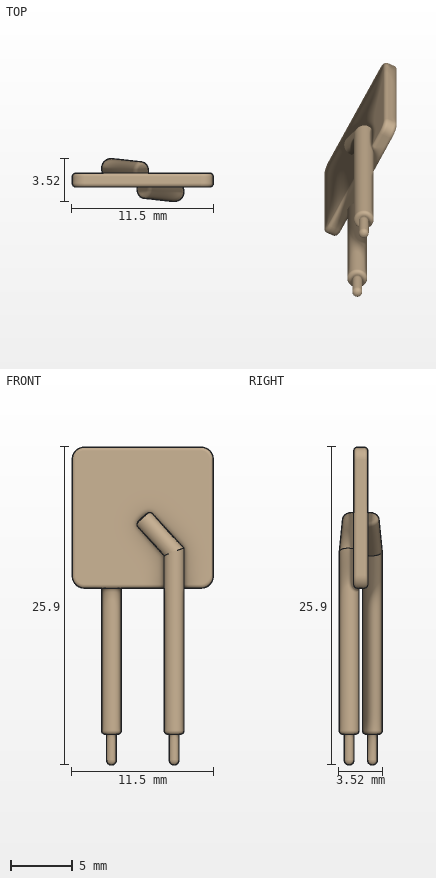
import cadquery as cq

plate_side = 11.5
plate_thickness = 1.15
plate_corner_radius = 1.0
plate_edge_fillet = 0.3

overall_height = 25.9
overall_depth = 3.52
lead_pitch = 5.1
sleeve_diameter = 1.62
sleeve_end_fillet = 0.3
wire_diameter = 0.81
wire_tip_fillet = 0.4
wire_exposed_length = 2.5
bend_drop = 2.8
inner_end_offset = 0.67

lead_x = lead_pitch / 2
lead_y = -(overall_depth - sleeve_diameter) / 2
wire_tip_z = plate_side / 2 - overall_height
sleeve_bottom_z = wire_tip_z + wire_exposed_length


def make_plate():
    return (
        cq.Workplane("XY")
        .box(plate_side, plate_thickness, plate_side)
        .edges("|Y")
        .fillet(plate_corner_radius)
        .faces("<Y or >Y")
        .edges()
        .fillet(plate_edge_fillet)
    )


def make_sleeve():
    """Insulated part of the lead: straight leg, mitred bend, rounded ends."""
    bottom = cq.Vector(lead_x, lead_y, sleeve_bottom_z)
    bend = cq.Vector(lead_x, lead_y, -bend_drop)
    inner_end = cq.Vector(0, -inner_end_offset, 0)
    path = cq.Workplane("XY").polyline([bottom.toTuple(), bend.toTuple(), inner_end.toTuple()])
    sleeve = (
        cq.Workplane("XY", origin=bottom.toTuple())
        .circle(sleeve_diameter / 2)
        .sweep(path, transition="right")
    )
    sleeve = sleeve.faces("<Z").edges().fillet(sleeve_end_fillet)
    inner_face = cq.NearestToPointSelector(inner_end.toTuple())
    return sleeve.faces("%PLANE").faces(inner_face).edges().fillet(sleeve_end_fillet)


def make_wire():
    """Bare wire below the sleeve, with a rounded tip."""
    return (
        cq.Workplane("XY", origin=(lead_x, lead_y, wire_tip_z))
        .circle(wire_diameter / 2)
        .extrude(wire_exposed_length)
        .faces("<Z")
        .edges()
        .fillet(wire_tip_fillet)
    )


front_lead = make_sleeve().union(make_wire())
rear_lead = front_lead.rotate((0, 0, 0), (0, 0, 1), 180)
result = make_plate().union(front_lead).union(rear_lead)